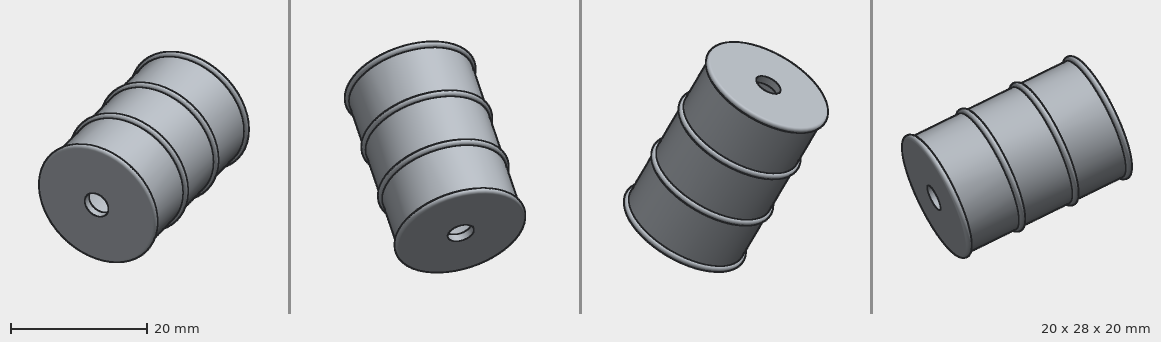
import cadquery as cq

length = 28.0
outer_diameter = 20.0
bead_width = 1.0
bore_diameter = 4.0
bead_count = 4
wall_thickness = 1.25

bead_radius = bead_width / 2
body_radius = outer_diameter / 2 - bead_radius
bead_pitch = (length - bead_width) / (bead_count - 1)


def cylinder_along_y(radius, cylinder_length):
    """Cylinder centred on the origin."""
    return cq.Workplane("XZ").circle(radius).extrude(cylinder_length / 2, both=True)


def bead(center_y):
    """Half-round ring standing proud of the body, filled to the axis."""
    front_y = center_y - bead_radius
    back_y = center_y + bead_radius
    return (
        cq.Workplane("XY")
        .moveTo(0, front_y)
        .lineTo(body_radius, front_y)
        .threePointArc((body_radius + bead_radius, center_y), (body_radius, back_y))
        .lineTo(0, back_y)
        .close()
        .revolve(360, (0, 0, 0), (0, 1, 0))
    )


barrel = cylinder_along_y(body_radius, length)
first_bead_y = -length / 2 + bead_radius
for index in range(bead_count):
    barrel = barrel.union(bead(first_bead_y + index * bead_pitch))

cavity_radius = body_radius - wall_thickness
cavity_length = length - 2 * wall_thickness
barrel = barrel.cut(cylinder_along_y(cavity_radius, cavity_length))

result = barrel.cut(cylinder_along_y(bore_diameter / 2, length))